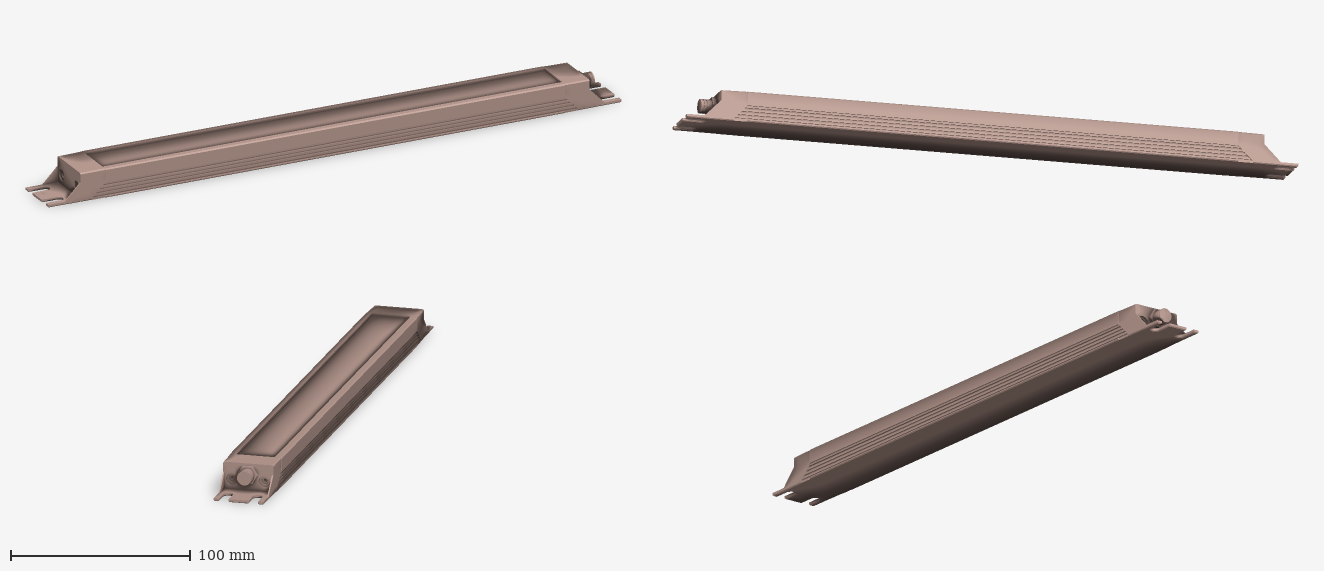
import cadquery as cq
import math

LENGTH = 355.0
WIDTH = 30.0
HEIGHT = 17.5

SEAM_Y = 142.5
BAND_BOTTOM_Z = 9.2
FOOT_HEIGHT = 1.0
FIN_INSET = 0.7
GROOVE_COUNT = 4
GROOVE_WIDTH = 0.9
GROOVE_DEPTH = 0.7
EDGE_CHAMFER = 0.7
RIM_CHAMFER = 0.55
WINDOW_WIDTH = 22.5
WINDOW_DEPTH = 1.6
SLANT_END_Y = 151.0

END_Y = LENGTH / 2
WALL_Y = 157.5
CHEEK_THICKNESS = 0.7
CHEEK_TOP_Z = 11.5
FLANGE_THICKNESS = 1.8
FLANGE_WIDTH = 28.8
CHEEK_END_Y = WALL_Y + CHEEK_TOP_Z - FLANGE_THICKNESS
CAP_WIDTH = 29.5
CAP_DROP = 0.18
SLOT_SPACING = 17.0
SLOT_WIDTH = 5.5
SLOT_LENGTH = 12.0
SCREW_SPACING = 18.8
SCREW_Z = 7.5
SCREW_HOLE_STEPS = [(6.7, 1.0), (4.3, 2.0), (2.0, WALL_Y - SEAM_Y)]

CONNECTOR_Z = 11.0
HEX_FLATS = 10.0
HEX_THICKNESS = 2.0
BARREL_DIAMETER = 8.0
BARREL_LENGTH = 6.5
THREAD_PITCH = 1.8
THREAD_COUNT = 2
THREAD_DEPTH = 0.5


def make_profile():
    """Finned profile with a sunken top strip and ends that slant outwards towards the bottom."""
    band = (
        cq.Workplane("XY", origin=(0, 0, BAND_BOTTOM_Z))
        .box(WIDTH, 2 * SEAM_Y, HEIGHT - BAND_BOTTOM_Z, centered=(True, True, False))
        .edges("|Y and >Z")
        .chamfer(EDGE_CHAMFER)
    )
    fin_width = WIDTH - 2 * FIN_INSET
    core = (
        cq.Workplane("YZ")
        .moveTo(-SLANT_END_Y, 0)
        .lineTo(SLANT_END_Y, 0)
        .lineTo(SLANT_END_Y, FOOT_HEIGHT)
        .lineTo(SEAM_Y, BAND_BOTTOM_Z)
        .lineTo(-SEAM_Y, BAND_BOTTOM_Z)
        .lineTo(-SLANT_END_Y, FOOT_HEIGHT)
        .close()
        .extrude(fin_width / 2, both=True)
    )
    foot = cq.Workplane("XY").box(WIDTH, 2 * SEAM_Y, FOOT_HEIGHT, centered=(True, True, False))
    foot = foot.edges("|Y and <Z").chamfer(RIM_CHAMFER)
    profile = band.union(core).union(foot)

    groove_pitch = (BAND_BOTTOM_Z - FOOT_HEIGHT) / GROOVE_COUNT
    for side in (-1, 1):
        for row in range(GROOVE_COUNT):
            groove = cq.Workplane("XY").box(2 * GROOVE_DEPTH, LENGTH, GROOVE_WIDTH)
            groove_z = FOOT_HEIGHT + row * groove_pitch + GROOVE_WIDTH / 2
            profile = profile.cut(groove.translate((side * fin_width / 2, 0, groove_z)))

    window = cq.Workplane("XY").box(WINDOW_WIDTH, 2 * SEAM_Y, 2 * WINDOW_DEPTH)
    return profile.cut(window.translate((0, 0, HEIGHT)))


def make_cap_block():
    """Tapered block of the cap at +Y, with sloping cheeks standing out from its end wall."""
    side_outline = (
        cq.Workplane("YZ")
        .moveTo(SEAM_Y, HEIGHT)
        .lineTo(WALL_Y, HEIGHT - CAP_DROP)
        .lineTo(WALL_Y, CHEEK_TOP_Z)
        .lineTo(CHEEK_END_Y, FLANGE_THICKNESS)
        .lineTo(CHEEK_END_Y, 0)
        .lineTo(SLANT_END_Y, 0)
        .lineTo(SLANT_END_Y, FOOT_HEIGHT)
        .lineTo(SEAM_Y, BAND_BOTTOM_Z)
        .close()
        .extrude(WIDTH, both=True)
    )
    plan = (
        cq.Workplane("XY")
        .moveTo(-CAP_WIDTH / 2, SEAM_Y)
        .lineTo(CAP_WIDTH / 2, SEAM_Y)
        .lineTo(FLANGE_WIDTH / 2, CHEEK_END_Y)
        .lineTo(-FLANGE_WIDTH / 2, CHEEK_END_Y)
        .close()
        .extrude(HEIGHT)
    )
    block = side_outline.intersect(plan)
    top_face = block.faces(cq.selectors.DirectionMinMaxSelector(cq.Vector(0, 0, 1), True))
    block = top_face.edges("not |X").chamfer(EDGE_CHAMFER)

    between_cheeks = cq.Workplane("XY").box(
        FLANGE_WIDTH - 2 * CHEEK_THICKNESS, END_Y - WALL_Y, HEIGHT, centered=(True, False, False)
    )
    return block.cut(between_cheeks.translate((0, WALL_Y, FLANGE_THICKNESS)))


def make_end_cap():
    """End cap at +Y: block and flange with screw holes, open slots and a chamfered lower rim."""
    flange = (
        cq.Workplane("XY")
        .box(FLANGE_WIDTH, END_Y - WALL_Y, FLANGE_THICKNESS, centered=(True, False, False))
        .translate((0, WALL_Y, 0))
    )
    slots = (
        cq.Workplane("XY")
        .pushPoints([(-SLOT_SPACING / 2, END_Y), (SLOT_SPACING / 2, END_Y)])
        .slot2D(2 * SLOT_LENGTH, SLOT_WIDTH, 90)
        .extrude(FLANGE_THICKNESS)
    )
    cap = make_cap_block().union(flange).cut(slots)
    cap = cap.faces("<Z").edges("not(<Y)").chamfer(RIM_CHAMFER)

    screw_places = [(-SCREW_SPACING / 2, SCREW_Z), (SCREW_SPACING / 2, SCREW_Z)]
    wall_plane = cq.Workplane("XZ", origin=(0, WALL_Y, 0)).pushPoints(screw_places)
    for diameter, depth in SCREW_HOLE_STEPS:
        cap = cap.cut(wall_plane.circle(diameter / 2).extrude(depth))
    return cap


def make_connector():
    """Hexagonal base and ridged barrel standing on the +Y end wall."""
    face = cq.Workplane("XZ", origin=(0, WALL_Y, CONNECTOR_Z))
    hex_corners = HEX_FLATS / math.cos(math.pi / 6)
    base = face.polygon(6, hex_corners).extrude(-HEX_THICKNESS)
    barrel_end = HEX_THICKNESS + BARREL_LENGTH
    barrel = face.circle(BARREL_DIAMETER / 2).extrude(-barrel_end)
    connector = base.union(barrel)
    for turn in range(THREAD_COUNT):
        groove = (
            face.workplane(offset=-(barrel_end - (turn + 1) * THREAD_PITCH))
            .circle(BARREL_DIAMETER / 2)
            .circle(BARREL_DIAMETER / 2 - THREAD_DEPTH)
            .extrude(-THREAD_PITCH / 2)
        )
        connector = connector.cut(groove)
    return connector


profile = make_profile()
rear_cap = make_end_cap()
front_cap = rear_cap.mirror("XZ")
connector = make_connector()

result = cq.Compound.makeCompound([profile.val(), rear_cap.val(), front_cap.val(), connector.val()])